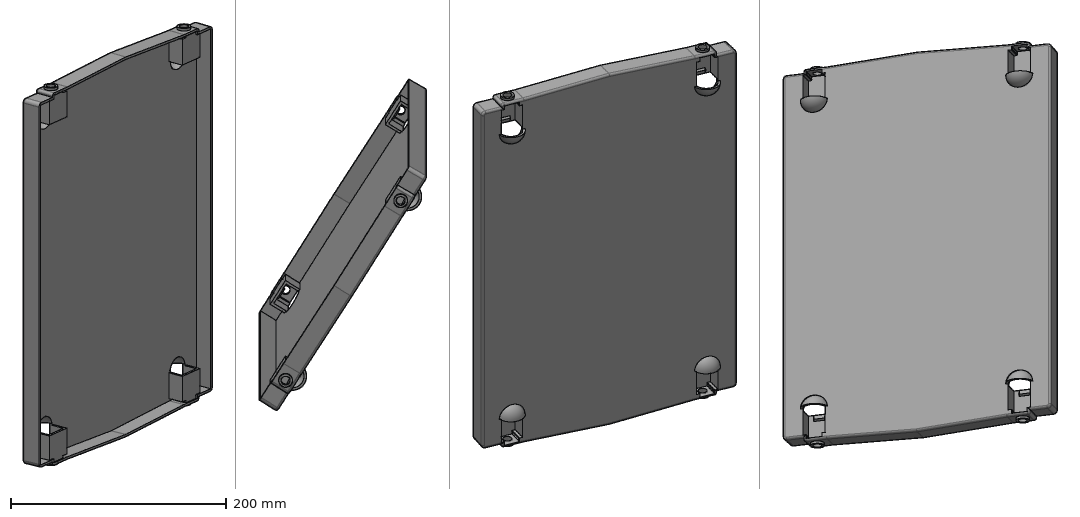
import cadquery as cq
import math

WIDTH = 263.8
HEIGHT = 377.0
DEPTH = 19.5
WALL = 2.45
DRAFT_ANGLE = 1.0

SHOULDER_DROP = 7.5
FLAT_DROP = 3.8
STEP_Y = 111.5
GABLE_START_Y = 88.5
CORNER_RADIUS = 3.8
STEP_RADIUS = 2.5
FRONT_ROUND = 2.3

STATION_Y = 101.0
WINDOW_WIDTH = 22.0
CHANNEL_WIDTH = 15.5
POCKET_DEPTH = 16.0
HOOD_RIM_Z = 152.5
BACKPLATE_GAP = 1.5

CATCH_WIDTH = 11.0
CATCH_HEIGHT = 6.0
CATCH_RIDGE_DROP = 1.5
CATCH_PROTRUSION = 2.0

HOOD_RADIUS = 13.5
HOOD_PROTRUSION = 11.0
HOOD_CENTER_RISE = 1.0

BOSS_RADIUS = 6.5
BOSS_HEIGHT = 2.3
BOSS_HOLE_RADIUS = 4.0

HALF_WIDTH = WIDTH / 2
HALF_HEIGHT = HEIGHT / 2
SHOULDER_Z = HALF_HEIGHT - SHOULDER_DROP
FLAT_Z = HALF_HEIGHT - FLAT_DROP
SHOULDER_CEILING = SHOULDER_Z - WALL
FLAT_CEILING = FLAT_Z - WALL
BACKPLATE_BOTTOM = HOOD_RIM_Z + BACKPLATE_GAP
GABLE_SLOPE = math.atan2(FLAT_DROP, GABLE_START_Y)
GABLE_ANGLE = math.degrees(GABLE_SLOPE)
GABLE_HALF_HEIGHT = HALF_HEIGHT * math.cos(GABLE_SLOPE)
GABLE_HALF_WIDTH = STEP_Y - CORNER_RADIUS
HOOD_CENTER_X = HOOD_RADIUS - HOOD_PROTRUSION


def block(x_range, y_range, z_range):
    """Axis-aligned box between the given limits."""
    lows, highs = zip(x_range, y_range, z_range)
    lengths = [high - low for low, high in zip(lows, highs)]
    return cq.Workplane("XY").box(*lengths, centered=False).translate(lows)


def station_block(x_range, width, z_range):
    """Box of the given width centred on the station."""
    return block(x_range, (STATION_Y - width / 2, STATION_Y + width / 2), z_range)


def at_all_corners(solid):
    """The solid at the +Y +Z corner together with its three mirror images."""
    pair = solid.union(solid.mirror("XZ"))
    return pair.union(pair.mirror("XY"))


def drafted_block(half_width, half_height, start_x):
    """Block from start_x to the back whose edge faces lean inwards by the draft."""
    return (
        cq.Workplane("YZ", origin=(start_x, 0, 0))
        .rect(2 * half_width, 2 * half_height)
        .extrude(DEPTH - start_x, taper=DRAFT_ANGLE)
    )


def rounded(block, corner_radius):
    """Block with its four corners and its front rim rounded."""
    corners = block.edges("not #X")
    return corners.fillet(corner_radius).faces("<X").edges().fillet(FRONT_ROUND)


def gabled(block):
    """Common part of the block tilted one way and the other, with a ridge at Y = 0."""
    tilted = [block.rotate((0, 0, 0), (1, 0, 0), angle) for angle in (GABLE_ANGLE, -GABLE_ANGLE)]
    return tilted[0].intersect(tilted[1])


def outline_blocks(inset, start_x):
    """Shoulder, flat and untilted gable blocks, moved inwards by inset."""
    half_sizes = [
        (HALF_WIDTH, SHOULDER_Z),
        (STEP_Y, FLAT_Z),
        (GABLE_HALF_WIDTH, GABLE_HALF_HEIGHT),
    ]
    return [drafted_block(y - inset, z - inset, start_x) for y, z in half_sizes]


def make_shell():
    """Panel with rounded corners and front rim, hollow and open at the back."""
    shoulders, flats, gables = outline_blocks(0, 0)
    panel = rounded(shoulders, CORNER_RADIUS).union(rounded(flats, STEP_RADIUS))
    panel = panel.union(gabled(rounded(gables, STEP_RADIUS)))
    shoulder_hollow, flat_hollow, gable_hollow = outline_blocks(WALL, WALL)
    return panel.cut(shoulder_hollow).cut(flat_hollow).cut(gabled(gable_hollow))


def make_pocket_walls():
    """Side walls and back plate that close the window off from the hollow."""
    depth_range = (WALL / 2, POCKET_DEPTH + WALL)
    sides = station_block(
        depth_range, WINDOW_WIDTH + 2 * WALL, (BACKPLATE_BOTTOM, SHOULDER_CEILING + WALL / 2)
    )
    channel_back = station_block(depth_range, CHANNEL_WIDTH, (SHOULDER_CEILING, FLAT_CEILING + WALL / 2))
    return sides.union(channel_back)


def make_window():
    """Window with its raised channel under the edge flat."""
    opening = station_block((0, POCKET_DEPTH), WINDOW_WIDTH, (HOOD_RIM_Z, SHOULDER_CEILING))
    channel = station_block((0, POCKET_DEPTH), CHANNEL_WIDTH, (HOOD_RIM_Z, FLAT_CEILING))
    return opening.union(channel)


def make_catch():
    """Wedge ridge along the lower end of the back plate."""
    top = BACKPLATE_BOTTOM + CATCH_HEIGHT
    return (
        cq.Workplane("XZ", origin=(0, STATION_Y + CATCH_WIDTH / 2, 0))
        .moveTo(POCKET_DEPTH, top)
        .lineTo(POCKET_DEPTH - CATCH_PROTRUSION, top - CATCH_RIDGE_DROP)
        .lineTo(POCKET_DEPTH, BACKPLATE_BOTTOM)
        .lineTo(POCKET_DEPTH + WALL / 2, BACKPLATE_BOTTOM)
        .lineTo(POCKET_DEPTH + WALL / 2, top)
        .close()
        .extrude(CATCH_WIDTH)
    )


def hood_ball(radius, back_x):
    """Part of the ball that lies under the hood rim and in front of back_x."""
    center = (HOOD_CENTER_X, STATION_Y, HOOD_RIM_Z + HOOD_CENTER_RISE)
    ball = cq.Workplane("XY").sphere(radius).translate(center)
    keep = station_block(
        (-HOOD_RADIUS, back_x), 3 * HOOD_RADIUS, (HOOD_RIM_Z - 2 * HOOD_RADIUS, HOOD_RIM_Z)
    )
    return ball.intersect(keep)


def boss_cylinder(radius, bottom_z):
    """Upright cylinder from bottom_z to the top of the boss."""
    height = FLAT_Z + BOSS_HEIGHT - bottom_z
    return (
        cq.Workplane("XY", origin=(DEPTH / 2, STATION_Y, bottom_z)).circle(radius).extrude(height)
    )


hood = hood_ball(HOOD_RADIUS, WALL)
hood_hollow = hood_ball(HOOD_RADIUS - WALL, 2 * WALL)
boss = boss_cylinder(BOSS_RADIUS, FLAT_CEILING)
boss_hole = boss_cylinder(BOSS_HOLE_RADIUS, SHOULDER_CEILING - WALL)

result = make_shell()
for addition in (make_pocket_walls(), hood, boss):
    result = result.union(at_all_corners(addition))
for opening in (make_window(), hood_hollow, boss_hole):
    result = result.cut(at_all_corners(opening))
result = result.union(at_all_corners(make_catch()))